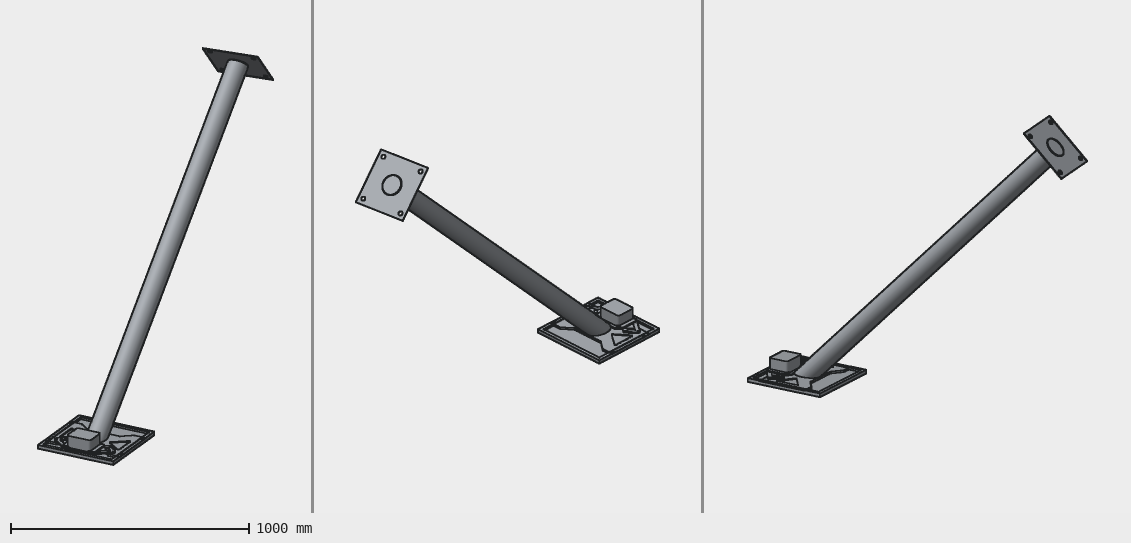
import cadquery as cq
import math

BASE_SIDE = 361.0
BASE_HEIGHT = 17.0
RIM_WIDTH = 17.0
POCKET_DEPTH = 9.0
SCREW_DIAMETER = 6.3

CROSS_CENTER_Y = -9.0
CROSS_HALF_END = 113.0
CROSS_HALF_WAIST = 75.0
CROSS_END_X = 125.0
CROSS_WAIST_X = 78.0
TAB_DROP = 0.8
TAB_THICKNESS = 2.0
TAB_HOLE_YS = (90.0, -95.0)
WINDOW_OUTER_X = 142.0
WINDOW_TIP_X = 67.0
WINDOW_HALF_HEIGHT = 56.0
WINDOW_FILLET = 5.0
WINDOW_DEPTH = 5.0

BRACKET_THICKNESS = 5.3
LOCATOR_REAR_Y = -45.0
LOCATOR_REAR_HALF_X = 49.0
LOCATOR_SIDE = (110.0, -104.0)
LOCATOR_FRONT_Y = -139.0
LOCATOR_FRONT_HALF_X = 63.0
WING_FRONT_HALF_X = 75.0
WING_TIP = (151.0, -98.0)
WING_REAR = (98.0, -50.0)
WING_ROOT = (75.0, -67.0)
WING_FILLET = 12.0
SLOT_OUTER = (120.0, -96.0)
SLOT_REAR = (99.0, -73.0)
SLOT_INNER = (88.0, -84.0)
WING_HOLES = ((135.0, -98.0), (99.0, -61.0))

BOX_REAR_Y = -63.0
BOX_DEPTH = 92.0
BOX_WIDTH = 113.0
BOX_TOP = 76.0
FLANGE_WIDTH = 155.0
FLANGE_THICKNESS = 5.3
BOX_FILLET = 10.0

POST_DIAMETER = 90.0
POST_TILT = 44.9
POST_FOOT_Z = 14.0
POST_LENGTH = 1758.0
POST_END_CHAMFER = 2.3

HEAD_SIDE = 249.0
HEAD_THICKNESS = 3.0
HEAD_YAW = 7.0
HEAD_HOLE_DIAMETER = 18.0
HEAD_HOLE_INSET = 26.0

BOX_FRONT_Y = BOX_REAR_Y - BOX_DEPTH
BOX_CENTER_Y = BOX_REAR_Y - BOX_DEPTH / 2
FLANGE_BOTTOM = BASE_HEIGHT + BRACKET_THICKNESS
TAB_TOP = BASE_HEIGHT - TAB_DROP
TAB_BOTTOM = TAB_TOP - TAB_THICKNESS
POCKET_FLOOR = BASE_HEIGHT - POCKET_DEPTH
POCKET_SIDE = BASE_SIDE - 2 * RIM_WIDTH
RIM_MIDDLE = (BASE_SIDE - RIM_WIDTH) / 2


def at_height(z):
    return cq.Workplane("XY").workplane(offset=z)


def mirrored(half_outline):
    """Complete an outline given for +X, from rear to front, with its copy on the -X side."""
    return half_outline + [(-x, y) for x, y in reversed(half_outline)]


def post_bar():
    """The full round bar along the post axis, before its ends are trimmed."""
    tilt = math.radians(POST_TILT)
    axis = cq.Vector(0, math.sin(tilt), math.cos(tilt))
    start = cq.Vector(0, 0, POST_FOOT_Z)
    plane = cq.Plane(origin=start.toTuple(), xDir=(1, 0, 0), normal=axis.toTuple())
    bar = cq.Workplane(plane).workplane(offset=-POST_DIAMETER)
    return bar.circle(POST_DIAMETER / 2).extrude(POST_LENGTH + 2 * POST_DIAMETER)


def head_plane():
    """Plane through the middle of the head plate, normal to the plate."""
    tilt = math.radians(POST_TILT)
    center = (0, POST_LENGTH * math.sin(tilt), POST_FOOT_Z + POST_LENGTH * math.cos(tilt))
    yaw = math.radians(HEAD_YAW)
    level_edge = (math.cos(yaw), math.sin(yaw), 0)
    normal = (-math.sin(yaw) * math.sin(tilt), math.cos(yaw) * math.sin(tilt), math.cos(tilt))
    return cq.Plane(origin=center, xDir=level_edge, normal=normal)


def tab_holes():
    """Screw holes shared by the rim and the tabs lying in it."""
    points = [(side * RIM_MIDDLE, y) for side in (-1, 1) for y in TAB_HOLE_YS]
    return at_height(0).pushPoints(points).circle(SCREW_DIAMETER / 2).extrude(BASE_HEIGHT)


def make_tray():
    tray = at_height(0).rect(BASE_SIDE, BASE_SIDE).extrude(BASE_HEIGHT)
    pocket = at_height(POCKET_FLOOR).rect(POCKET_SIDE, POCKET_SIDE).extrude(POCKET_DEPTH)
    tab_notch = (
        at_height(TAB_BOTTOM)
        .center(0, CROSS_CENTER_Y)
        .rect(BASE_SIDE, 2 * CROSS_HALF_END)
        .extrude(BASE_HEIGHT - TAB_BOTTOM)
    )
    return tray.cut(pocket).cut(tab_notch).cut(tab_holes())


def cross_window(side):
    outline = [
        (side * WINDOW_OUTER_X, CROSS_CENTER_Y + WINDOW_HALF_HEIGHT),
        (side * WINDOW_OUTER_X, CROSS_CENTER_Y - WINDOW_HALF_HEIGHT),
        (side * WINDOW_TIP_X, CROSS_CENTER_Y),
    ]
    window = at_height(BASE_HEIGHT).polyline(outline).close().extrude(-WINDOW_DEPTH)
    return window.edges("|Z").fillet(WINDOW_FILLET)


def make_cross_plate():
    upper_right = [
        (CROSS_WAIST_X, CROSS_HALF_WAIST),
        (CROSS_END_X, CROSS_HALF_END),
        (POCKET_SIDE / 2, CROSS_HALF_END),
    ]
    right = upper_right + [(x, -y) for x, y in reversed(upper_right)]
    left = [(-x, -y) for x, y in right]
    plate = (
        at_height(POCKET_FLOOR)
        .center(0, CROSS_CENTER_Y)
        .polyline(right + left)
        .close()
        .extrude(POCKET_DEPTH)
    )
    for side in (-1, 1):
        tab = (
            at_height(TAB_BOTTOM)
            .center(side * RIM_MIDDLE, CROSS_CENTER_Y)
            .rect(RIM_WIDTH, 2 * CROSS_HALF_END)
            .extrude(TAB_THICKNESS)
        )
        plate = plate.union(tab).cut(cross_window(side))
    return plate.cut(tab_holes())


def locator_blank():
    outline = mirrored([
        (LOCATOR_REAR_HALF_X, LOCATOR_REAR_Y),
        LOCATOR_SIDE,
        (LOCATOR_FRONT_HALF_X, LOCATOR_FRONT_Y),
    ])
    return at_height(BASE_HEIGHT).polyline(outline).close().extrude(BRACKET_THICKNESS)


def make_locator():
    return locator_blank().cut(post_bar())


def wing_slot(side):
    corners = [(side * x, y) for x, y in (SLOT_OUTER, SLOT_REAR, SLOT_INNER, LOCATOR_SIDE)]
    return at_height(BASE_HEIGHT).polyline(corners).close().extrude(BRACKET_THICKNESS)


def wing_holes(side):
    points = [(side * x, y) for x, y in WING_HOLES]
    holes = at_height(BASE_HEIGHT).pushPoints(points).circle(SCREW_DIAMETER / 2)
    return holes.extrude(BRACKET_THICKNESS)


def make_bracket():
    outline = mirrored([WING_ROOT, WING_REAR, WING_TIP, (WING_FRONT_HALF_X, BOX_FRONT_Y)])
    bracket = at_height(BASE_HEIGHT).polyline(outline).close().extrude(BRACKET_THICKNESS)
    bracket = bracket.edges("|Z and (<X or >X)").fillet(WING_FILLET)
    for side in (-1, 1):
        bracket = bracket.cut(wing_slot(side)).cut(wing_holes(side))
    return bracket.cut(locator_blank())


def rounded_block(width, height):
    """Block with rounded corners over the terminal box's place on the locating plate."""
    block = at_height(FLANGE_BOTTOM).center(0, BOX_CENTER_Y).rect(width, BOX_DEPTH).extrude(height)
    return block.edges("|Z").fillet(BOX_FILLET)


def make_box():
    flange = rounded_block(FLANGE_WIDTH, FLANGE_THICKNESS)
    box = rounded_block(BOX_WIDTH, BOX_TOP - FLANGE_BOTTOM)
    return flange.union(box)


def make_post():
    above_head = (
        cq.Workplane(head_plane())
        .workplane(offset=HEAD_THICKNESS / 2)
        .rect(HEAD_SIDE, HEAD_SIDE)
        .extrude(HEAD_SIDE)
    )
    below_base = at_height(BASE_HEIGHT).rect(BASE_SIDE, BASE_SIDE).extrude(-BASE_SIDE)
    post = post_bar().cut(above_head).cut(below_base)
    return post.faces(">Z").chamfer(POST_END_CHAMFER)


def make_head_plate():
    hole_spacing = HEAD_SIDE - 2 * HEAD_HOLE_INSET
    plate = (
        cq.Workplane(head_plane())
        .rect(HEAD_SIDE, HEAD_SIDE)
        .extrude(HEAD_THICKNESS / 2, both=True)
    )
    holes = (
        cq.Workplane(head_plane())
        .rect(hole_spacing, hole_spacing, forConstruction=True)
        .vertices()
        .circle(HEAD_HOLE_DIAMETER / 2)
        .extrude(HEAD_THICKNESS, both=True)
    )
    return plate.cut(holes).cut(post_bar())


tray = make_tray()
cross_plate = make_cross_plate()
locator = make_locator()
bracket = make_bracket()
box = make_box()
post = make_post()
head_plate = make_head_plate()

result = cq.Compound.makeCompound([
    tray.val(),
    cross_plate.val(),
    locator.val(),
    bracket.val(),
    box.val(),
    post.val(),
    head_plate.val(),
])